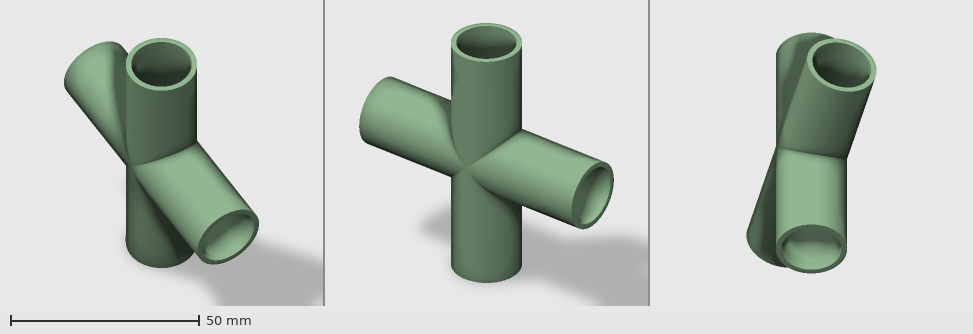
import cadquery as cq

length = 70.0
outer_diameter = 19.0
bore_diameter = 16.0


def cross_of_cylinders(diameter):
    """Two equal full-length cylinders crossing at right angles."""
    along_x = cq.Workplane("YZ").circle(diameter / 2).extrude(length / 2, both=True)
    along_z = cq.Workplane("XY").circle(diameter / 2).extrude(length / 2, both=True)
    return along_x.union(along_z)


outer_body = cross_of_cylinders(outer_diameter)
bores = cross_of_cylinders(bore_diameter)

result = outer_body.cut(bores)